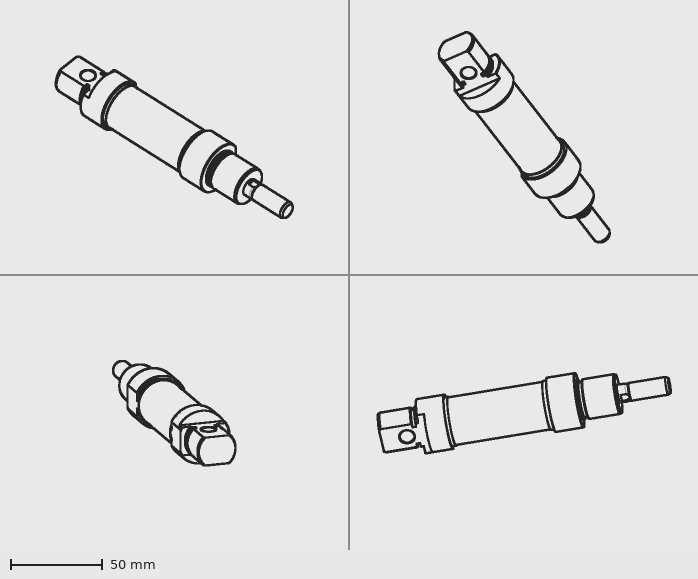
import cadquery as cq


rear_groove_start = 18.4
rear_groove_end = 20.3
rear_head_start = 22.0
rear_head_end = 37.3
barrel_start = 39.2
barrel_end = 92.0
front_head_start = 94.4
front_head_end = 110.0
front_groove_start = 111.4
front_groove_end = 113.3
nose_end = 131.8
wrench_flat_start = 133.3
rod_taper_start = 136.3
rod_taper_end = 137.8
thread_start = 138.2
rod_end = 160.0

head_diameter = 30.0
head_side_flat = 13.5
collar_diameter = 27.2
barrel_diameter = 26.4
nose_diameter = 22.0
groove_diameter = 19.4
rod_diameter = 10.0
rod_relief_diameter = 9.3

tang_thickness = 16.0
tang_shoulder_x = 26.0
pivot_hole_x = 14.2
pivot_hole_diameter = 8.0
pivot_hole_chamfer = 0.3

wrench_size = 9.1

nose_chamfer_length = 1.1
nose_chamfer_depth = 0.5
groove_chamfer = 0.5
head_chamfer = 0.3
rod_chamfer_length = 1.5
rod_chamfer_depth = 0.8


def cylinder(start, end, diameter):
    """Solid cylinder on the X axis between two stations."""
    return cq.Workplane("YZ", origin=(start, 0, 0)).circle(diameter / 2).extrude(end - start)


def box_between(x_range, y_range, z_range):
    """Axis-aligned box given its limits along X, Y and Z."""
    (x0, x1), (y0, y1), (z0, z1) = x_range, y_range, z_range
    return cq.Workplane("XY").box(x1 - x0, y1 - y0, z1 - z0, centered=False).translate((x0, y0, z0))


def turned(profile):
    """Solid of revolution about X from (station, radius) points listed rear to front."""
    first_x = profile[0][0]
    last_x = profile[-1][0]
    outline = [(first_x, 0), *profile, (last_x, 0)]
    return cq.Workplane("XY").polyline(outline).close().revolve(360, (0, 0, 0), (1, 0, 0))


def cut_side_flat(body):
    """Cut the long flat on the +Y side of a cylinder head."""
    waste = box_between((0, rod_end), (head_side_flat, head_diameter), (-head_diameter, head_diameter))
    return body.cut(waste)


def cut_parallel_flats(body, start, end, across):
    """Cut a pair of flats, facing +Z and -Z, between two stations."""
    for low, high in ((across / 2, head_diameter), (-head_diameter, -across / 2)):
        body = body.cut(box_between((start, end), (-head_diameter, head_diameter), (low, high)))
    return body


def cut_pivot_hole(body):
    """Drill the vertical pivot hole through the tang, with both rims chamfered."""
    half_height = tang_thickness / 2
    hole_r = pivot_hole_diameter / 2
    rim_r = hole_r + pivot_hole_chamfer
    straight_half = half_height - pivot_hole_chamfer
    drill = (
        cq.Workplane("XZ")
        .polyline([
            (0, -half_height),
            (rim_r, -half_height),
            (hole_r, -straight_half),
            (hole_r, straight_half),
            (rim_r, half_height),
            (0, half_height),
        ])
        .close()
        .revolve(360, (0, 0, 0), (0, 1, 0))
        .translate((pivot_hole_x, 0, 0))
    )
    return body.cut(drill)


def make_rear_head():
    nose_r = nose_diameter / 2
    groove_r = groove_diameter / 2
    head_r = head_diameter / 2
    collar_r = collar_diameter / 2
    body = turned([
        (0, nose_r - nose_chamfer_depth),
        (nose_chamfer_length, nose_r),
        (rear_groove_start - groove_chamfer, nose_r),
        (rear_groove_start, nose_r - groove_chamfer),
        (rear_groove_start, groove_r),
        (rear_groove_end, groove_r),
        (rear_groove_end, nose_r),
        (rear_head_start, nose_r),
        (rear_head_start, head_r - head_chamfer),
        (rear_head_start + head_chamfer, head_r),
        (rear_head_end, head_r),
        (rear_head_end, collar_r),
        (barrel_start, collar_r),
    ])
    body = cut_side_flat(body)
    body = cut_parallel_flats(body, 0, tang_shoulder_x, tang_thickness)
    return cut_pivot_hole(body)


def make_barrel():
    return cylinder(barrel_start, barrel_end, barrel_diameter)


def make_front_head():
    nose_r = nose_diameter / 2
    groove_r = groove_diameter / 2
    head_r = head_diameter / 2
    collar_r = collar_diameter / 2
    body = turned([
        (barrel_end, collar_r),
        (front_head_start, collar_r),
        (front_head_start, head_r),
        (front_head_end - head_chamfer, head_r),
        (front_head_end, head_r - head_chamfer),
        (front_head_end, nose_r),
        (front_groove_start - groove_chamfer, nose_r),
        (front_groove_start, nose_r - groove_chamfer),
        (front_groove_start, groove_r),
        (front_groove_end, groove_r),
        (front_groove_end, nose_r - groove_chamfer),
        (front_groove_end + groove_chamfer, nose_r),
        (nose_end - nose_chamfer_length, nose_r),
        (nose_end, nose_r - nose_chamfer_depth),
    ])
    return cut_side_flat(body)


def make_rod():
    rod_r = rod_diameter / 2
    body = turned([
        (nose_end, rod_r),
        (rod_taper_start, rod_r),
        (rod_taper_end, rod_relief_diameter / 2),
        (thread_start, rod_r),
        (rod_end - rod_chamfer_length, rod_r),
        (rod_end, rod_r - rod_chamfer_depth),
    ])
    return cut_parallel_flats(body, wrench_flat_start, rod_taper_end, wrench_size)


rear_head = make_rear_head()
barrel = make_barrel()
front_head = make_front_head()
rod = make_rod()

result = cq.Compound.makeCompound([rear_head.val(), barrel.val(), front_head.val(), rod.val()])